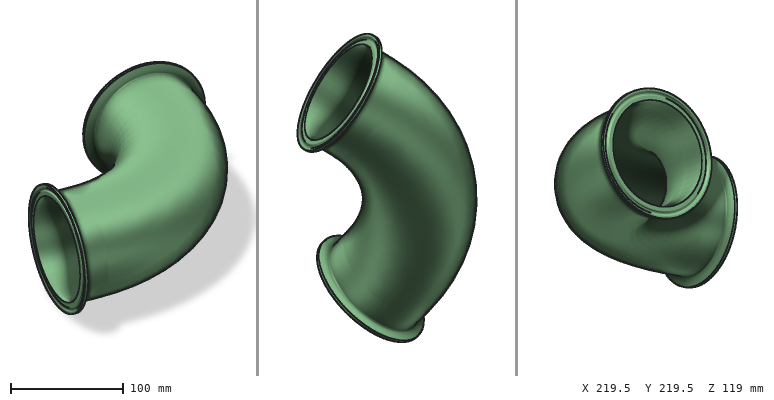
import cadquery as cq
import math

tube_diameter = 101.6
bore_diameter = 97.6
bend_radius = 133.0
face_to_axis = 160.0
ferrule_length = face_to_axis - bend_radius

flange_diameter = 119.0
rim_width = 2.85
back_angle = math.radians(20)
neck_fillet = 2.0

groove_diameter = 110.3
groove_width = 4.6
groove_depth = 1.6
groove_lip_radius = 0.8

tube_radius = tube_diameter / 2
bore_radius = bore_diameter / 2
flange_radius = flange_diameter / 2


def polar(center, radius, angle):
    """Point at the given angle on a circle."""
    return (center[0] + radius * math.cos(angle), center[1] + radius * math.sin(angle))


def add_groove(profile):
    """Continue a profile along the clamp face (second coordinate 0) through the gasket groove."""
    middle = groove_diameter / 2
    half_width = groove_width / 2
    floor_radius = (half_width**2 + groove_depth**2) / (2 * groove_depth) - groove_lip_radius
    floor_center = (middle, groove_depth - floor_radius)
    inner_lip_center = (middle - half_width, groove_lip_radius)
    outer_lip_center = (middle + half_width, groove_lip_radius)
    outer_touch = math.atan2(floor_center[1] - outer_lip_center[1], -half_width) % (2 * math.pi)
    inner_touch = 3 * math.pi - outer_touch
    face_direction = 3 * math.pi / 2
    outer_mid = (outer_touch + face_direction) / 2
    inner_mid = (inner_touch + face_direction) / 2
    return (
        profile.lineTo(inner_lip_center[0], 0)
        .threePointArc(
            polar(inner_lip_center, groove_lip_radius, inner_mid),
            polar(inner_lip_center, groove_lip_radius, inner_touch),
        )
        .threePointArc(
            (middle, groove_depth),
            polar(outer_lip_center, groove_lip_radius, outer_touch),
        )
        .threePointArc(
            polar(outer_lip_center, groove_lip_radius, outer_mid),
            (outer_lip_center[0], 0),
        )
    )


def make_ferrule():
    """Ferrule turned about Z: clamp face at Z = 0, tube end at Z = ferrule_length."""
    fillet_center_r = tube_radius + neck_fillet
    cone_end_r = fillet_center_r - neck_fillet * math.sin(back_angle)
    cone_end_z = rim_width + (flange_radius - cone_end_r) * math.tan(back_angle)
    fillet_center = (fillet_center_r, cone_end_z + neck_fillet * math.cos(back_angle))
    cone_touch = 3 * math.pi / 2 - back_angle
    fillet_mid = (math.pi + cone_touch) / 2

    face = cq.Workplane("XZ").moveTo(bore_radius, 0)
    profile = (
        add_groove(face)
        .lineTo(flange_radius, 0)
        .lineTo(flange_radius, rim_width)
        .lineTo(cone_end_r, cone_end_z)
        .threePointArc(
            polar(fillet_center, neck_fillet, fillet_mid),
            (tube_radius, fillet_center[1]),
        )
        .lineTo(tube_radius, ferrule_length)
        .lineTo(bore_radius, ferrule_length)
        .close()
    )
    return profile.revolve(360, (0, 0, 0), (0, 1, 0))


def make_bend():
    """Quarter-turn tube about Z, from the +X axis to the +Y axis."""
    return (
        cq.Workplane("XZ")
        .center(bend_radius, 0)
        .circle(tube_radius)
        .circle(bore_radius)
        .revolve(90, (-bend_radius, 0, 0), (-bend_radius, 1, 0))
    )


origin = (0, 0, 0)
ferrule = make_ferrule()
front_ferrule = ferrule.rotate(origin, (1, 0, 0), -90).translate((bend_radius, -ferrule_length, 0))
left_ferrule = ferrule.rotate(origin, (0, 1, 0), 90).translate((-ferrule_length, bend_radius, 0))

result = make_bend().union(front_ferrule).union(left_ferrule)